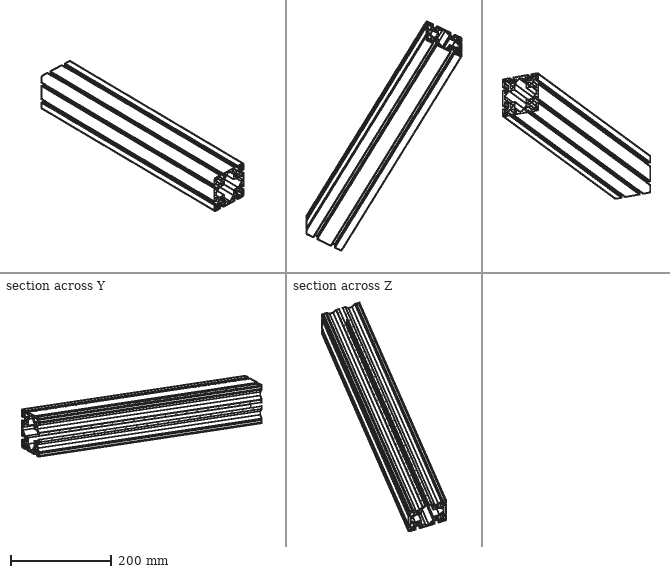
import cadquery as cq

LENGTH = 500.0
SIDE = 80.0
HALF = SIDE / 2
CORNER_RADIUS = 3.5
SLOT_OFFSET = SIDE / 4

WALL = 4.5
SLOT_HALF_OPENING = 4.1
SLOT_WIDTH = 20.0
SLOT_SHOULDER = 1.5
SLOT_FLOOR = 7.5
SLOT_TAPER = (SLOT_WIDTH - SLOT_FLOOR) / 2

BOSS_BORE_RADIUS = 3.4
BOSS_WALL = 3.8
CORNER_BORE_RADIUS = 2.0
CORNER_BORE_OFFSET = 35.0

CAVITY_REACH = HALF - WALL
CAVITY_ARM = SLOT_OFFSET - BOSS_BORE_RADIUS - BOSS_WALL
CAVITY_TIP = 3.0

QUARTER_TURNS = (0, 90, 180, 270)
SIGNS = (-1, 1)


def section():
    """Sketch plane across the extrusion, centred on its start face."""
    return cq.Workplane("YZ").workplane(offset=-LENGTH / 2)


def corner_bores(offset, radius):
    """Four full-length round bores, one towards each corner of the section."""
    centres = [(y * offset, z * offset) for y in SIGNS for z in SIGNS]
    return section().pushPoints(centres).circle(radius).extrude(LENGTH)


def slot_cutter(centre):
    """T-slot in the +Z face, its sides narrowing at 45 degrees to the floor."""
    lip = HALF - WALL
    shoulder = lip - SLOT_SHOULDER
    floor = shoulder - SLOT_TAPER
    right_side = [
        (SLOT_HALF_OPENING, HALF),
        (SLOT_HALF_OPENING, lip),
        (SLOT_WIDTH / 2, lip),
        (SLOT_WIDTH / 2, shoulder),
        (SLOT_FLOOR / 2, floor),
    ]
    left_side = [(-y, z) for y, z in reversed(right_side)]
    outline = [(centre + y, z) for y, z in right_side + left_side]
    return section().polyline(outline).close().extrude(LENGTH)


def arm_cutter():
    """One arm of the central cavity, narrowing at 45 degrees to a flat end."""
    shoulder = CAVITY_REACH - (CAVITY_ARM - CAVITY_TIP)
    outline = [
        (-CAVITY_ARM, 0),
        (CAVITY_ARM, 0),
        (CAVITY_ARM, shoulder),
        (CAVITY_TIP, CAVITY_REACH),
        (-CAVITY_TIP, CAVITY_REACH),
        (-CAVITY_ARM, shoulder),
    ]
    return section().polyline(outline).close().extrude(LENGTH)


body = section().rect(SIDE, SIDE).extrude(LENGTH).edges("|X").fillet(CORNER_RADIUS)

face_cutters = [slot_cutter(-SLOT_OFFSET), slot_cutter(SLOT_OFFSET), arm_cutter()]
for angle in QUARTER_TURNS:
    for cutter in face_cutters:
        body = body.cut(cutter.rotate((0, 0, 0), (1, 0, 0), angle))

body = body.cut(corner_bores(SLOT_OFFSET, BOSS_BORE_RADIUS))
result = body.cut(corner_bores(CORNER_BORE_OFFSET, CORNER_BORE_RADIUS))